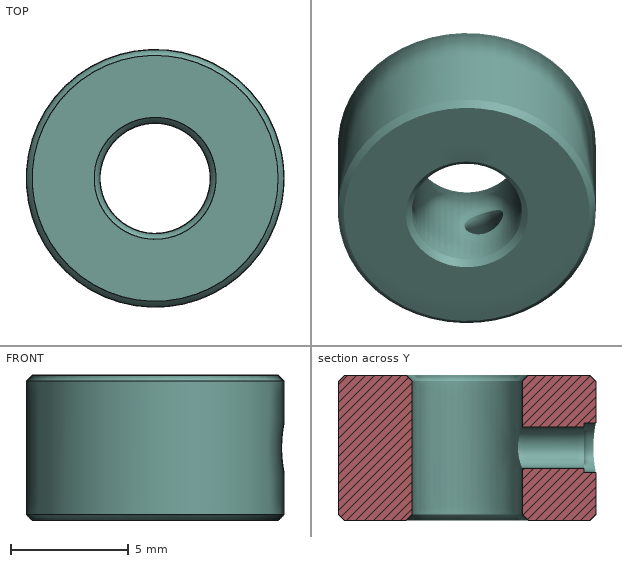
import cadquery as cq

outer_diameter = 11.0
height = 6.2
bore_diameter = 4.7
chamfer = 0.25

radial_hole_diameter = 1.75
counterbore_diameter = 2.09
counterbore_depth = 0.5

outer_radius = outer_diameter / 2


def make_collar():
    """Ring with its axis on Z, chamfered on all four circular edges."""
    ring = (
        cq.Workplane("XY")
        .circle(outer_radius)
        .circle(bore_diameter / 2)
        .extrude(height)
    )
    return ring.faces("<Z or >Z").edges().chamfer(chamfer)


def make_radial_cylinder(diameter, start_radius):
    """Cylinder along +X at mid height, from start_radius out past the outer wall."""
    return (
        cq.Workplane("YZ")
        .workplane(offset=start_radius)
        .center(0, height / 2)
        .circle(diameter / 2)
        .extrude(outer_diameter)
    )


radial_hole = make_radial_cylinder(radial_hole_diameter, 0)
counterbore = make_radial_cylinder(counterbore_diameter, outer_radius - counterbore_depth)

result = make_collar().cut(radial_hole).cut(counterbore)